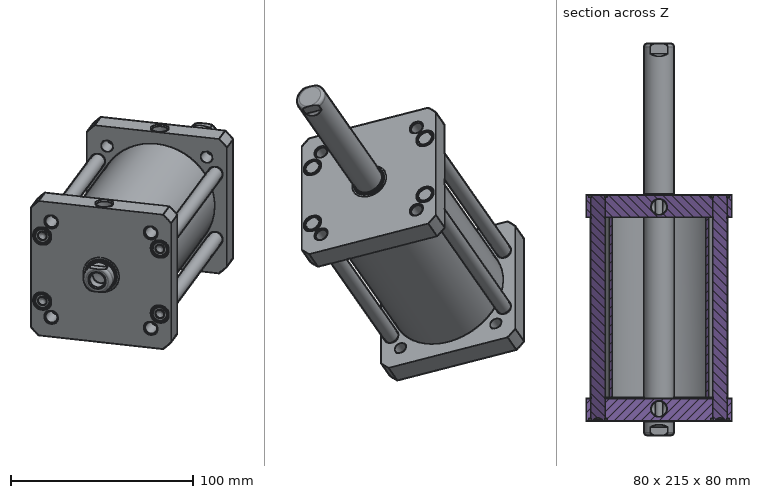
import cadquery as cq
import math

total_length = 215.0

plate_side = 80.0
plate_thickness = 12.5
plate_turning_diameter = 106.9

rear_rod_length = 83.0
front_rod_length = 8.0
rod_diameter = 16.5
rod_journal_diameter = 16.0
rod_neck_diameter = 4.0
rod_edge_radius = 2.0
rod_across_flats = 13.5
rear_flat_length = 5.5
front_flat_length = 4.5
rod_hole_diameter = 8.5
rod_hole_countersink_diameter = 10.0
rod_hole_depth = 6.9
rod_hole_point_angle = 160.0

rod_mouth_diameter = 18.0
rod_mouth_depth = 0.6
seal_groove_diameter = 20.5
rod_seat_depth = 1.7

barrel_outer_diameter = 66.0
barrel_bore = 63.0
shoulder_gap = 0.5

tie_circle_radius = 38.7
tie_angle = 30.0
tie_diameter = 8.4
tie_end_diameter = 8.0
tie_recess_diameter = 10.0
tie_recess_depth = 1.3
tie_countersink_diameter = 10.5
tie_hole_diameter = 5.0
tie_hole_depth = 0.6
drill_point_angle = 118.0

mount_offset = 28.4
mount_hole_diameter = 6.7
mount_countersink_diameter = 8.0

port_bore = 8.5
port_countersink_diameter = 10.0
port_inward_offset = 0.5

rod_front = -total_length / 2
rod_rear = total_length / 2
front_plate_outer = rod_front + front_rod_length
front_plate_inner = front_plate_outer + plate_thickness
rear_plate_outer = rod_rear - rear_rod_length
rear_plate_inner = rear_plate_outer - plate_thickness

tie_x = tie_circle_radius * math.cos(math.radians(tie_angle))
tie_z = tie_circle_radius * math.sin(math.radians(tie_angle))
tie_points = [(side * tie_x, level * tie_z) for side in (-1, 1) for level in (-1, 1)]
mount_points = [(side * mount_offset, level * mount_offset) for side in (-1, 1) for level in (-1, 1)]

backward = cq.Vector(0, 1, 0)
downward = cq.Vector(0, 0, -1)


def bar(diameter, y_start, y_end, x=0.0, z=0.0):
    """Round bar parallel to Y between y_start and y_end, in either order."""
    y_low = min(y_start, y_end)
    length = abs(y_end - y_start)
    return cq.Workplane(cq.Solid.makeCylinder(diameter / 2, length, cq.Vector(x, y_low, z), backward))


def countersink(outer_diameter, inner_diameter, mouth, direction):
    """45 degree cone that narrows from the mouth along the direction."""
    depth = (outer_diameter - inner_diameter) / 2
    return cq.Workplane(cq.Solid.makeCone(outer_diameter / 2, inner_diameter / 2, depth, mouth, direction))


def drilled_hole(diameter, depth, mouth, direction, point_angle=drill_point_angle):
    """Blind hole with a conical drill point; depth is that of its straight wall."""
    radius = diameter / 2
    point_depth = radius / math.tan(math.radians(point_angle / 2))
    wall = cq.Solid.makeCylinder(radius, depth, mouth, direction)
    point = cq.Solid.makeCone(radius, 0, point_depth, mouth + direction * depth, direction)
    return cq.Workplane(wall.fuse(point))


def cut_mounting_holes(plate, y_outer, y_inner, inward):
    """Four through holes, countersunk on the outer face."""
    for x, z in mount_points:
        mouth = cq.Vector(x, y_outer, z)
        plate = plate.cut(bar(mount_hole_diameter, y_outer, y_inner, x, z))
        plate = plate.cut(countersink(mount_countersink_diameter, mount_hole_diameter, mouth, inward))
    return plate


def cut_tie_rod_holes(plate, y_outer, y_inner, inward):
    """Four through holes for the tie rod ends, each with a countersunk recess on the outer face."""
    for x, z in tie_points:
        mouth = cq.Vector(x, y_outer, z)
        y_recess = y_outer + inward.y * tie_recess_depth
        plate = plate.cut(bar(tie_end_diameter, y_outer, y_inner, x, z))
        plate = plate.cut(bar(tie_recess_diameter, y_outer, y_recess, x, z))
        plate = plate.cut(countersink(tie_countersink_diameter, tie_recess_diameter, mouth, inward))
    return plate


def cut_rod_passage(plate, y_outer, y_inner, inward):
    """Rod opening, the seal groove behind it and the narrow bore for the rod neck."""
    y_groove = y_outer + inward.y * rod_mouth_depth
    y_seat = y_outer + inward.y * rod_seat_depth
    plate = plate.cut(bar(rod_mouth_diameter, y_outer, y_groove))
    plate = plate.cut(bar(seal_groove_diameter, y_groove, y_seat))
    return plate.cut(bar(rod_neck_diameter, y_seat, y_inner))


def cut_port(plate, y_port):
    """Countersunk port drilled from the top until its straight wall has passed the rod neck."""
    mouth = cq.Vector(0, y_port, plate_side / 2)
    depth = (plate_side + rod_neck_diameter) / 2
    plate = plate.cut(drilled_hole(port_bore, depth, mouth, downward))
    return plate.cut(countersink(port_countersink_diameter, port_bore, mouth, downward))


def make_plate(y_outer, y_inner):
    """Square end plate with turned corners; y_outer is its outer face, y_inner faces the barrel."""
    inward = backward if y_inner > y_outer else -backward
    y_middle = (y_outer + y_inner) / 2
    plate = cq.Workplane("XY").box(plate_side, plate_thickness, plate_side).translate((0, y_middle, 0))
    plate = plate.intersect(bar(plate_turning_diameter, y_outer, y_inner))
    plate = cut_mounting_holes(plate, y_outer, y_inner, inward)
    plate = cut_tie_rod_holes(plate, y_outer, y_inner, inward)
    plate = cut_rod_passage(plate, y_outer, y_inner, inward)
    return cut_port(plate, y_middle + inward.y * port_inward_offset)


def make_barrel():
    """Tube that stands on the rear plate and stops just short of the front plate."""
    y_front = front_plate_inner + shoulder_gap
    tube = bar(barrel_outer_diameter, y_front, rear_plate_inner)
    return tube.cut(bar(barrel_bore, y_front, rear_plate_inner))


def make_tie_rod(x, z):
    """Tie rod with reduced ends flush with the outer plate faces and a drilled centre in front."""
    ends = bar(tie_end_diameter, front_plate_outer, rear_plate_outer, x, z)
    shank = bar(tie_diameter, front_plate_inner + shoulder_gap, rear_plate_inner - shoulder_gap, x, z)
    mouth = cq.Vector(x, front_plate_outer, z)
    return ends.union(shank).cut(drilled_hole(tie_hole_diameter, tie_hole_depth, mouth, backward))


def cut_wrench_flats(rod, y_end, length, inward):
    """Upper and lower flats at a rod end, each with a 45 degree run-out."""
    z_flat = rod_across_flats / 2
    z_top = rod_diameter / 2
    y_flat = y_end + inward.y * length
    y_run_out = y_flat + inward.y * (z_top - z_flat)
    profile = [(y_end, z_flat), (y_flat, z_flat), (y_run_out, z_top), (y_end, z_top)]
    flat = cq.Workplane("YZ").polyline(profile).close().extrude(rod_diameter / 2, both=True)
    return rod.cut(flat).cut(flat.mirror("XY"))


def make_rod():
    """Through rod, thinned inside the plates, with rounded ends, flats and a hole in front."""
    front_end = bar(rod_diameter, rod_front, front_plate_outer - shoulder_gap)
    front_end = front_end.faces("<Y").edges().fillet(rod_edge_radius)
    front_end = cut_wrench_flats(front_end, rod_front, front_flat_length, backward)
    rear_end = bar(rod_diameter, rear_plate_outer + shoulder_gap, rod_rear)
    rear_end = rear_end.faces(">Y").edges().fillet(rod_edge_radius)
    rear_end = cut_wrench_flats(rear_end, rod_rear, rear_flat_length, -backward)

    front_seat = front_plate_outer + rod_seat_depth
    rear_seat = rear_plate_outer - rod_seat_depth
    front_journal = bar(rod_journal_diameter, front_plate_outer - shoulder_gap, front_seat)
    rear_journal = bar(rod_journal_diameter, rear_seat, rear_plate_outer + shoulder_gap)
    neck = bar(rod_neck_diameter, front_seat, rear_seat)
    middle = bar(rod_diameter, front_plate_inner, rear_plate_inner)

    rod = front_end.union(front_journal).union(neck).union(middle).union(rear_journal).union(rear_end)
    mouth = cq.Vector(0, rod_front, 0)
    rod = rod.cut(drilled_hole(rod_hole_diameter, rod_hole_depth, mouth, backward, rod_hole_point_angle))
    return rod.cut(countersink(rod_hole_countersink_diameter, rod_hole_diameter, mouth, backward))


front_plate = make_plate(front_plate_outer, front_plate_inner)
rear_plate = make_plate(rear_plate_outer, rear_plate_inner)
barrel = make_barrel()
rod = make_rod()
tie_rods = [make_tie_rod(x, z) for x, z in tie_points]

result = cq.Compound.makeCompound(
    [
        front_plate.val(),
        rear_plate.val(),
        barrel.val(),
        rod.val(),
        *[tie_rod.val() for tie_rod in tie_rods],
    ]
)